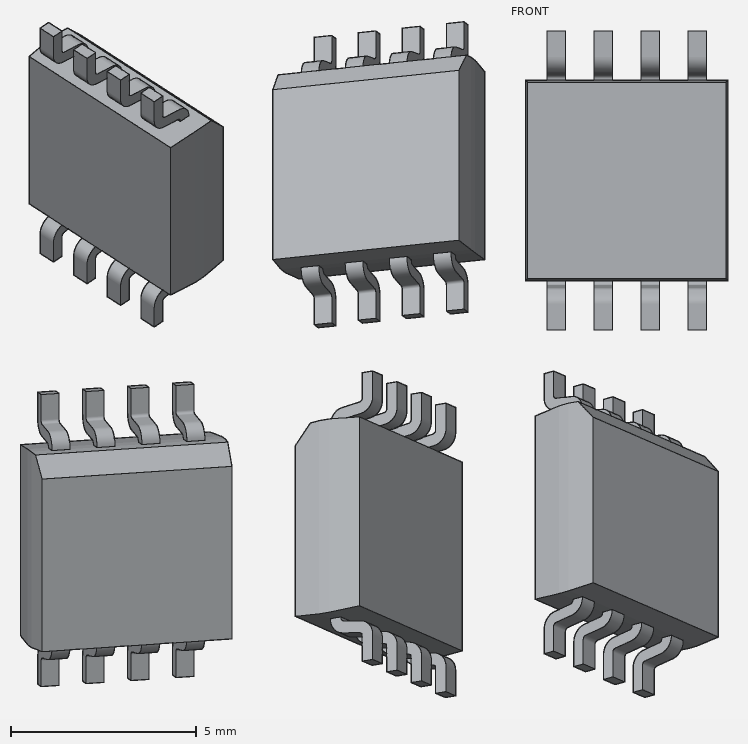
import cadquery as cq
import math


overall_depth = 2.13
overall_height = 8.07
front_y = -overall_depth / 2
back_y = overall_depth / 2

lead_count = 4
lead_pitch = 1.27
lead_width = 0.51
lead_thickness = 0.33
lead_root_length = 0.025
lead_embed = 0.24
arm_slope = math.radians(8)
bend_inner_radius = 0.1
bend_outer_radius = bend_inner_radius + lead_thickness

body_width = 5.46
body_height = 5.41
body_taper = 4.0
front_clearance = 0.105
band_offset = 1.0
band_front_y = front_y + band_offset
band_back_y = band_front_y + lead_thickness

bevel_depth = 0.5
bevel_drop = 0.58


def body_slab(start_y, length, taper=0.0):
    """Body cross-section extruded along -Y (along +Y for a negative length)."""
    plane = cq.Workplane("XZ", origin=(0, start_y, 0))
    return plane.rect(body_width, body_height).extrude(length, taper=taper)


def make_body():
    front_half_depth = band_front_y - (front_y + front_clearance)
    back_half_depth = back_y - band_back_y
    band = body_slab(band_back_y, lead_thickness)
    front_half = body_slab(band_front_y, front_half_depth, body_taper)
    back_half = body_slab(band_back_y, -back_half_depth, body_taper)
    return band.union(front_half).union(back_half).cut(make_bevel_cutter())


def make_bevel_cutter():
    """Triangular prism removing the upper back edge of the body."""
    top_z = body_height / 2
    taper_inset = (back_y - bevel_depth - band_back_y) * math.tan(math.radians(body_taper))
    return (
        cq.Workplane("YZ")
        .moveTo(back_y - bevel_depth, top_z - taper_inset)
        .lineTo(back_y, top_z - bevel_drop)
        .lineTo(back_y, top_z)
        .lineTo(back_y - bevel_depth, top_z)
        .close()
        .extrude(body_width / 2, both=True)
    )


def make_upper_lead(center_x):
    """Lead with an S-shaped YZ profile: root, bend, sloped arm, bend, foot."""
    root_z = body_height / 2 + lead_root_length
    root_center_y = band_front_y - bend_inner_radius
    foot_center_y = front_y + bend_outer_radius
    centers_dy = root_center_y - foot_center_y
    centers_across_arm = bend_inner_radius + bend_outer_radius
    foot_z = root_z + (centers_across_arm + centers_dy * math.sin(arm_slope)) / math.cos(arm_slope)

    def root_bend_end(radius):
        return (
            root_center_y + radius * math.sin(arm_slope),
            root_z + radius * math.cos(arm_slope),
        )

    def foot_bend_end(radius):
        return (
            foot_center_y - radius * math.sin(arm_slope),
            foot_z - radius * math.cos(arm_slope),
        )

    hidden_z = body_height / 2 - lead_embed
    tip_z = overall_height / 2
    foot_back_y = front_y + lead_thickness
    return (
        cq.Workplane("YZ", origin=(center_x, 0, 0))
        .moveTo(band_front_y, hidden_z)
        .lineTo(band_front_y, root_z)
        .tangentArcPoint(root_bend_end(bend_inner_radius), relative=False)
        .lineTo(*foot_bend_end(bend_outer_radius))
        .tangentArcPoint((front_y, foot_z), relative=False)
        .lineTo(front_y, tip_z)
        .lineTo(foot_back_y, tip_z)
        .lineTo(foot_back_y, foot_z)
        .tangentArcPoint(foot_bend_end(bend_inner_radius), relative=False)
        .lineTo(*root_bend_end(bend_outer_radius))
        .tangentArcPoint((band_back_y, root_z), relative=False)
        .lineTo(band_back_y, hidden_z)
        .close()
        .extrude(lead_width / 2, both=True)
    )


result = make_body()
for index in range(lead_count):
    lead_x = (index - (lead_count - 1) / 2) * lead_pitch
    upper_lead = make_upper_lead(lead_x)
    lower_lead = upper_lead.mirror("XY")
    result = result.union(upper_lead).union(lower_lead)